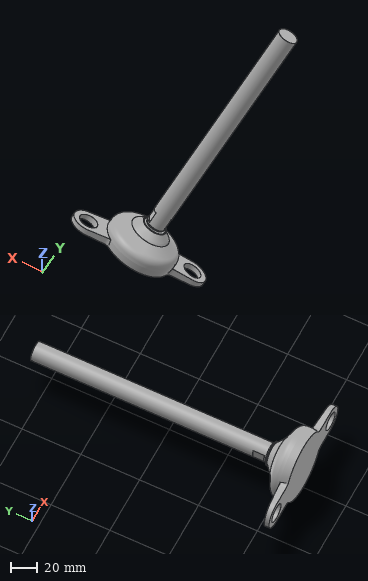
import cadquery as cq
import math


total_length = 228.0
bottom_radius = 29.2
rim_radius = 29.98
rim_start = 6.4
rim_end = 9.3
shoulder_radius = 26.2
shoulder_y = 15.3
flare_radius = 16.5
flare_y = 20.0
cone_radius = 15.0
cone_y = 21.5
neck_radius = 9.1
lip_radius = 10.0
lip_thickness = 0.7
base_height = 27.1

lug_span = 116.0
lug_radius = 12.5
lug_center = lug_span / 2 - lug_radius
lug_hole_diameter = 15.3
lug_tip_thickness = 4.0
lug_root_thickness = rim_start
lug_fillet = 5.0

rod_radius = 8.1
rod_foot_radius = 7.5
rod_foot_taper = 1.4
flat_width = 13.2
flat_start = 29.9
flat_end = 39.5


def revolve_about_y(profile):
    return profile.close().revolve(360, (0, 0, 0), (0, 1, 0))


def extrude_up(outline, height):
    """Extrude an XZ outline from Y = 0 towards +Y."""
    return outline.extrude(-height)


def make_hub():
    profile = (
        cq.Workplane("XY")
        .lineTo(bottom_radius, 0)
        .lineTo(rim_radius, rim_start)
        .lineTo(rim_radius, rim_end)
        .tangentArcPoint((shoulder_radius, shoulder_y), relative=False)
        .lineTo(flare_radius, flare_y)
        .lineTo(cone_radius, cone_y)
        .lineTo(neck_radius, base_height - lip_thickness)
        .lineTo(lip_radius, base_height - lip_thickness)
        .lineTo(lip_radius, base_height)
        .lineTo(0, base_height)
    )
    return revolve_about_y(profile)


def make_lug():
    """Lug on +X, with concave fillets tangent to the hub circle and to the lug sides."""
    fillet_z = lug_radius + lug_fillet
    fillet_reach = bottom_radius + lug_fillet
    fillet_x = math.sqrt(fillet_reach**2 - fillet_z**2)
    hub_x = fillet_x * bottom_radius / fillet_reach
    hub_z = fillet_z * bottom_radius / fillet_reach
    middle_angle = (math.atan2(-fillet_z, -fillet_x) - math.pi / 2) / 2
    middle_x = fillet_x + lug_fillet * math.cos(middle_angle)
    middle_z = fillet_z + lug_fillet * math.sin(middle_angle)

    outline = (
        cq.Workplane("XZ")
        .lineTo(hub_x, hub_z)
        .threePointArc((middle_x, middle_z), (fillet_x, lug_radius))
        .lineTo(lug_center, lug_radius)
        .threePointArc((lug_span / 2, 0), (lug_center, -lug_radius))
        .lineTo(fillet_x, -lug_radius)
        .threePointArc((middle_x, -middle_z), (hub_x, -hub_z))
        .close()
    )
    slope_profile = (
        cq.Workplane("XY")
        .lineTo(lug_span / 2, 0)
        .lineTo(lug_span / 2, lug_tip_thickness)
        .lineTo(hub_x, lug_root_thickness)
        .lineTo(0, lug_root_thickness)
        .close()
        .extrude(bottom_radius, both=True)
    )
    hole = extrude_up(
        cq.Workplane("XZ").center(lug_center, 0).circle(lug_hole_diameter / 2), base_height
    )
    return extrude_up(outline, lug_root_thickness).intersect(slope_profile).cut(hole)


def make_base():
    lug = make_lug()
    return make_hub().union(lug).union(lug.mirror("YZ"))


def make_rod():
    """Rod standing on the flat top of the base, with a pair of wrench flats."""
    profile = (
        cq.Workplane("XY")
        .moveTo(0, base_height)
        .lineTo(rod_foot_radius, base_height)
        .lineTo(rod_radius, base_height + rod_foot_taper)
        .lineTo(rod_radius, total_length)
        .lineTo(0, total_length)
    )
    rod = revolve_about_y(profile)
    flat_middle = (flat_start + flat_end) / 2
    for side in (-1, 1):
        cutter = cq.Workplane("XY").box(rod_radius, flat_end - flat_start, 2 * rod_radius)
        cutter_x = side * (flat_width + rod_radius) / 2
        rod = rod.cut(cutter.translate((cutter_x, flat_middle, 0)))
    return rod


base = make_base()
rod = make_rod()

result = cq.Compound.makeCompound([base.val(), rod.val()])